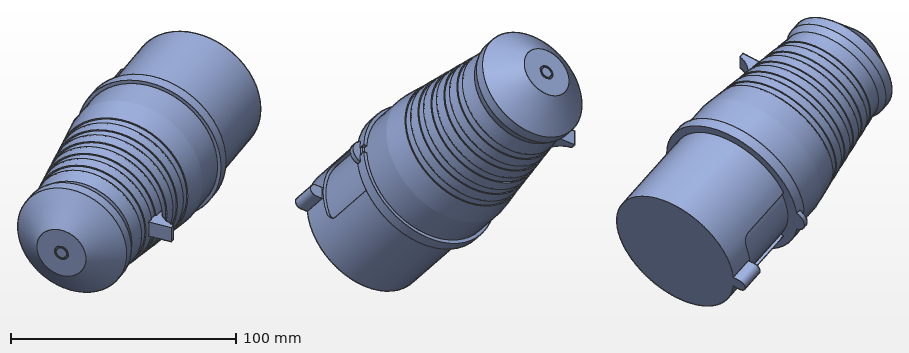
import cadquery as cq

total_length = 143.0

tip_radius = 12.0
bead_radius = 53.5 / 2
body_radius = 67.0 / 2
neck_radius = 25.3
shoulder_radius = 31.7
bulge_radius = 32.7
bead_start = 11.3
bead_end = 16.2
neck_y = 19.9
shoulder_y = 65.2
body_start = 77.2
handle_end = 94.5

groove_count = 5
last_groove_end = 31.3
groove_pitch = (shoulder_y - last_groove_end) / (groove_count - 1)
groove_width = 3.6
groove_depth = 0.6

ring_outer_radius = 6.7 / 2
ring_inner_radius = 5.1 / 2
ring_depth = 0.7

hook_reach = 38.2
hook_width = 7.6
hook_bottom = 33.7
hook_tip_y = 36.3
hook_top = 44.3
hook_root = 21.5
hook_curve_mid = (31.9, 39.5)

flange_radius = 70.5 / 2
flange_start = 92.8
flange_end = 98.1
barrel_radius = 63.0 / 2

window_radius = 30.0
window_end = 130.3
window_half_width = 14.9
window_corner = 4.3

key_radius = 6.0 / 2
key_centre = 34.7
key_length = 11.9

tab_radius = 5.7
tab_reach = 77.1 - hook_reach
tab_thickness = 2.3
notch_width = 3.9
notch_step = 34.7


def disc(radius, start, end):
    """Cylinder about the Y axis between two Y positions."""
    return cq.Workplane("XZ", origin=(0, start, 0)).circle(radius).extrude(start - end)


def tube(outer, inner, start, end):
    return disc(outer, start, end).cut(disc(inner, start, end))


def box(x_start, x_end, y_start, y_end, width):
    """Box centred on z = 0."""
    return (
        cq.Workplane("XY")
        .box(x_end - x_start, y_end - y_start, width, centered=(False, False, True))
        .translate((x_start, y_start, 0))
    )


def taper_radius(y):
    """Radius of the ribbed taper at a given Y."""
    slope = (shoulder_radius - neck_radius) / (shoulder_y - neck_y)
    return neck_radius + slope * (y - neck_y)


def make_grip_groove(end):
    """Ring to remove: its floor runs parallel to the taper."""
    start = end - groove_width
    return (
        cq.Workplane("XY")
        .moveTo(taper_radius(start) - groove_depth, start)
        .lineTo(body_radius, start)
        .lineTo(body_radius, end)
        .lineTo(taper_radius(end) - groove_depth, end)
        .close()
        .revolve(360, (0, 0, 0), (0, 1, 0))
    )


def make_hook():
    return (
        cq.Workplane("XY")
        .moveTo(hook_root, hook_bottom)
        .lineTo(hook_reach, hook_bottom)
        .lineTo(hook_reach, hook_tip_y)
        .threePointArc(hook_curve_mid, (taper_radius(hook_top), hook_top))
        .lineTo(hook_root, hook_top)
        .close()
        .extrude(hook_width / 2, both=True)
    )


def make_handle():
    handle = (
        cq.Workplane("XY")
        .lineTo(tip_radius, 0)
        .lineTo(bead_radius, bead_start)
        .lineTo(bead_radius, bead_end)
        .lineTo(neck_radius, neck_y)
        .lineTo(shoulder_radius, shoulder_y)
        .threePointArc((bulge_radius, (shoulder_y + body_start) / 2), (body_radius, body_start))
        .lineTo(body_radius, handle_end)
        .lineTo(0, handle_end)
        .close()
        .revolve(360, (0, 0, 0), (0, 1, 0))
    )
    for index in range(groove_count):
        handle = handle.cut(make_grip_groove(shoulder_y - index * groove_pitch))
    handle = handle.cut(tube(ring_outer_radius, ring_inner_radius, 0, ring_depth))
    return handle.union(make_hook())


def make_window():
    """Shell segment to remove from the barrel; only its far corners are rounded."""
    outline = (
        box(-flange_radius, 0, flange_end, window_end, 2 * window_half_width)
        .edges("|X and >Y")
        .fillet(window_corner)
    )
    return outline.cut(disc(window_radius, flange_end, window_end))


def make_key():
    key_start = total_length - key_length
    rounded_end = disc(key_radius, key_start, total_length).translate((-key_centre, 0, 0))
    web = box(-key_centre, -window_radius, key_start, total_length, 2 * key_radius)
    return rounded_end.union(web)


def make_tab():
    tab = disc(tab_radius, flange_end - tab_thickness, flange_end)
    return tab.translate((tab_radius - tab_reach, 0, 0))


def make_notch():
    """Notch that opens onto the handle, with a shallow step next to the tab."""
    deep = box(-flange_radius, 0, flange_start, handle_end, notch_width)
    shallow = box(-flange_radius, -notch_step, handle_end, flange_end - tab_thickness, notch_width)
    return deep.union(shallow)


def make_shroud():
    shroud = disc(flange_radius, flange_start, flange_end)
    shroud = shroud.union(disc(barrel_radius, flange_end, total_length))
    shroud = shroud.cut(make_window())
    shroud = shroud.union(make_key()).union(make_tab())
    shroud = shroud.cut(make_notch())
    return shroud.cut(disc(body_radius, flange_start, handle_end))


handle = make_handle()
shroud = make_shroud()

result = cq.Compound.makeCompound([handle.val(), shroud.val()])